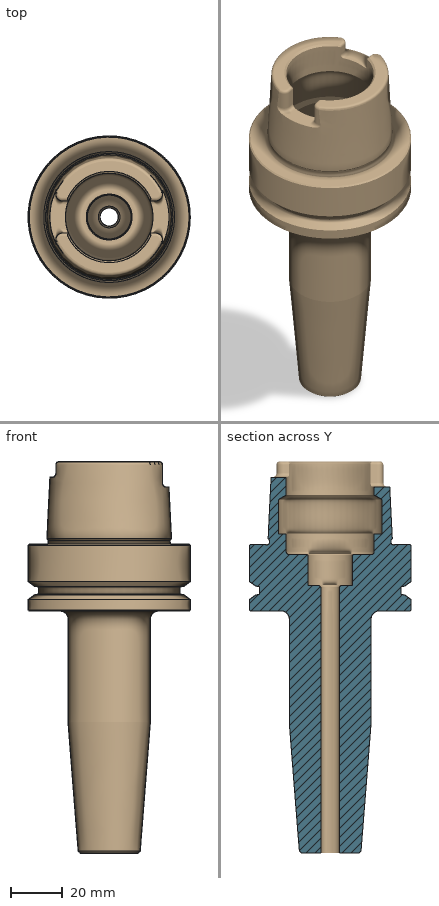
import cadquery as cq
import math


SHANK_LENGTH = 32.0
TAPER_BASE_Z = 2.1
TAPER_GAUGE_Z = 6.3
TAPER_GAUGE_RADIUS = 48.01 / 2
TAPER_SLOPE = 1 / 20
RIM_FILLET = 1.2

RELIEF_STEP_HEIGHT = 0.6
RELIEF_NECK_RADIUS = 23.7
RELIEF_FILLET = 1.0
RELIEF_DEPTH = 0.25
RELIEF_OUTER_RADIUS = 25.4

FLANGE_RADIUS = 63.0 / 2
FLANGE_THICKNESS = 26.0
FLANGE_CHAMFER = 0.5
GROOVE_CENTRE_Z = -18.0
GROOVE_MOUTH_WIDTH = 7.0
GROOVE_SHOULDER_WIDTH = 3.3
GROOVE_SHOULDER_RADIUS = 29.0
GROOVE_BOTTOM_WIDTH = 2.7
GROOVE_BOTTOM_RADIUS = 55.0 / 2

NECK_RADIUS = 32.0 / 2
NECK_FILLET = 3.0
NOSE_LENGTH = 120.0
TIP_RADIUS = 12.0
NOSE_HALF_ANGLE = 4.5
TIP_CHAMFER = 0.9

BORE_RADIUS = 34.0 / 2
CLAMP_LIP_DEPTH = 13.0
UNDERCUT_RADIUS = 40.0 / 2
UNDERCUT_FLOOR_Z = 4.0
UNDERCUT_ANGLE = 60.0
BORE_FLOOR_Z = -4.0
BORE_FLOOR_FILLET = 1.0
BORE_RIM_CHAMFER = 0.7
TUBE_BORE_RADIUS = 17.0 / 2
TUBE_CHAMFER = 0.4
TUBE_BORE_DEPTH = 12.0
COOLANT_RADIUS = 7.0 / 2
COOLANT_CHAMFER_RADIUS = 8.4 / 2

SLOT_WIDTH = 12.54
SLOT_RELIEF_X = 20.7
SLOT_CORNER_RADIUS = 2.5
SLOT_FLOOR_FILLET = 1.5
SHALLOW_SLOT_DEPTH = 6.0
DEEP_SLOT_DEPTH = 9.8


def make_body():
    rim_radius = TAPER_GAUGE_RADIUS - TAPER_SLOPE * (SHANK_LENGTH - TAPER_GAUGE_Z)
    taper_base_radius = TAPER_GAUGE_RADIUS + TAPER_SLOPE * (TAPER_GAUGE_Z - TAPER_BASE_Z)
    relief_centre_radius = RELIEF_NECK_RADIUS + RELIEF_FILLET
    relief_centre_z = RELIEF_FILLET - RELIEF_DEPTH
    relief_mid = RELIEF_FILLET * math.sqrt(0.5)
    mouth = GROOVE_MOUTH_WIDTH / 2
    bottom = GROOVE_BOTTOM_WIDTH / 2
    shoulder = GROOVE_SHOULDER_WIDTH / 2
    nose_taper_length = (NECK_RADIUS - TIP_RADIUS) / math.tan(math.radians(NOSE_HALF_ANGLE))
    tip_chamfer_radius = TIP_RADIUS + TIP_CHAMFER * math.tan(math.radians(NOSE_HALF_ANGLE))
    fillet_centre_radius = NECK_RADIUS + NECK_FILLET
    fillet_mid = NECK_FILLET * math.sqrt(0.5)
    outline = (
        cq.Workplane("XZ")
        .moveTo(0, SHANK_LENGTH)
        .lineTo(rim_radius, SHANK_LENGTH)
        .lineTo(taper_base_radius, TAPER_BASE_Z)
        .lineTo(RELIEF_NECK_RADIUS, TAPER_BASE_Z - RELIEF_STEP_HEIGHT)
        .lineTo(RELIEF_NECK_RADIUS, relief_centre_z)
        .threePointArc(
            (relief_centre_radius - relief_mid, relief_centre_z - relief_mid),
            (relief_centre_radius, -RELIEF_DEPTH),
        )
        .lineTo(RELIEF_OUTER_RADIUS, 0)
        .lineTo(FLANGE_RADIUS - FLANGE_CHAMFER, 0)
        .lineTo(FLANGE_RADIUS, -FLANGE_CHAMFER)
        .lineTo(FLANGE_RADIUS, GROOVE_CENTRE_Z + mouth)
        .lineTo(GROOVE_SHOULDER_RADIUS, GROOVE_CENTRE_Z + shoulder)
        .lineTo(GROOVE_BOTTOM_RADIUS, GROOVE_CENTRE_Z + bottom)
        .lineTo(GROOVE_BOTTOM_RADIUS, GROOVE_CENTRE_Z - bottom)
        .lineTo(GROOVE_SHOULDER_RADIUS, GROOVE_CENTRE_Z - shoulder)
        .lineTo(FLANGE_RADIUS, GROOVE_CENTRE_Z - mouth)
        .lineTo(FLANGE_RADIUS, FLANGE_CHAMFER - FLANGE_THICKNESS)
        .lineTo(FLANGE_RADIUS - FLANGE_CHAMFER, -FLANGE_THICKNESS)
        .lineTo(fillet_centre_radius, -FLANGE_THICKNESS)
        .threePointArc(
            (fillet_centre_radius - fillet_mid, fillet_mid - FLANGE_THICKNESS - NECK_FILLET),
            (NECK_RADIUS, -FLANGE_THICKNESS - NECK_FILLET),
        )
        .lineTo(NECK_RADIUS, nose_taper_length - NOSE_LENGTH)
        .lineTo(tip_chamfer_radius, TIP_CHAMFER - NOSE_LENGTH)
        .lineTo(TIP_RADIUS - TIP_CHAMFER, -NOSE_LENGTH)
        .lineTo(0, -NOSE_LENGTH)
        .close()
    )
    return outline.revolve(360, (0, 0, 0), (0, 1, 0))


def make_slot_cutter(direction, depth):
    """Slot towards direction * X, open at the rim, with rounded walls and floor edges."""
    half_width = SLOT_WIDTH / 2
    reach = FLANGE_RADIUS
    corner_x = SLOT_RELIEF_X - SLOT_CORNER_RADIUS
    corner_y = half_width + SLOT_CORNER_RADIUS
    corner_mid = SLOT_CORNER_RADIUS * math.sqrt(0.5)
    return (
        cq.Workplane("XY", origin=(0, 0, SHANK_LENGTH - depth))
        .moveTo(0, -half_width)
        .lineTo(direction * corner_x, -half_width)
        .threePointArc(
            (direction * (corner_x + corner_mid), corner_mid - corner_y),
            (direction * SLOT_RELIEF_X, -corner_y),
        )
        .lineTo(direction * SLOT_RELIEF_X, -reach)
        .lineTo(direction * reach, -reach)
        .lineTo(direction * reach, reach)
        .lineTo(direction * SLOT_RELIEF_X, reach)
        .lineTo(direction * SLOT_RELIEF_X, corner_y)
        .threePointArc(
            (direction * (corner_x + corner_mid), corner_y - corner_mid),
            (direction * corner_x, half_width),
        )
        .lineTo(0, half_width)
        .close()
        .extrude(2 * depth)
        .faces("<Z")
        .edges()
        .fillet(SLOT_FLOOR_FILLET)
    )


def make_bores():
    coolant_chamfer = COOLANT_CHAMFER_RADIUS - COOLANT_RADIUS
    lip_z = SHANK_LENGTH - CLAMP_LIP_DEPTH
    undercut_drop = (UNDERCUT_RADIUS - BORE_RADIUS) / math.tan(math.radians(UNDERCUT_ANGLE))
    tube_floor_z = BORE_FLOOR_Z - TUBE_BORE_DEPTH
    fillet_mid = BORE_FLOOR_FILLET * (1 - math.sqrt(0.5))
    outline = (
        cq.Workplane("XZ")
        .moveTo(0, SHANK_LENGTH)
        .lineTo(BORE_RADIUS + BORE_RIM_CHAMFER, SHANK_LENGTH)
        .lineTo(BORE_RADIUS, SHANK_LENGTH - BORE_RIM_CHAMFER)
        .lineTo(BORE_RADIUS, lip_z)
        .lineTo(UNDERCUT_RADIUS, lip_z - undercut_drop)
        .lineTo(UNDERCUT_RADIUS, UNDERCUT_FLOOR_Z)
        .lineTo(BORE_RADIUS, UNDERCUT_FLOOR_Z)
        .lineTo(BORE_RADIUS, BORE_FLOOR_Z + BORE_FLOOR_FILLET)
        .threePointArc(
            (BORE_RADIUS - fillet_mid, BORE_FLOOR_Z + fillet_mid),
            (BORE_RADIUS - BORE_FLOOR_FILLET, BORE_FLOOR_Z),
        )
        .lineTo(TUBE_BORE_RADIUS + TUBE_CHAMFER, BORE_FLOOR_Z)
        .lineTo(TUBE_BORE_RADIUS, BORE_FLOOR_Z - TUBE_CHAMFER)
        .lineTo(TUBE_BORE_RADIUS, tube_floor_z)
        .lineTo(COOLANT_CHAMFER_RADIUS, tube_floor_z)
        .lineTo(COOLANT_RADIUS, tube_floor_z - coolant_chamfer)
        .lineTo(COOLANT_RADIUS, -NOSE_LENGTH)
        .lineTo(0, -NOSE_LENGTH)
        .close()
    )
    return outline.revolve(360, (0, 0, 0), (0, 1, 0))


def cut_slots_and_round_rim(body):
    for direction, depth in ((-1, SHALLOW_SLOT_DEPTH), (1, DEEP_SLOT_DEPTH)):
        body = body.cut(make_slot_cutter(direction, depth))
    return body.faces(">Z").edges().fillet(RIM_FILLET)


result = cut_slots_and_round_rim(make_body()).cut(make_bores())